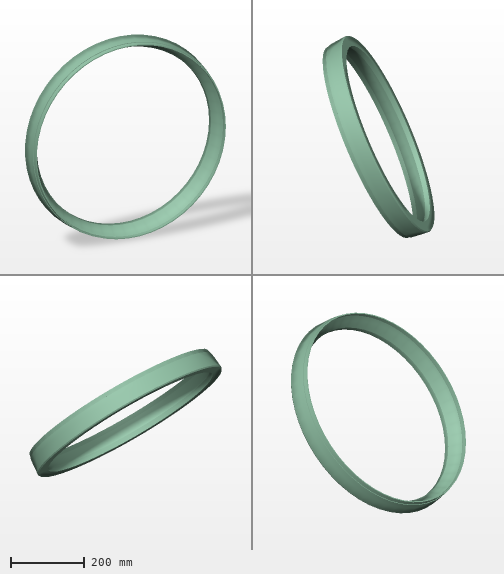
import cadquery as cq

width = 61.0
outer_diameter = 580.0

chamfer_length = 3.5
chamfer_depth = 2.5
lip_start = 49.0
crown_end_diameter = 571.0
crown_mid_diameter = 576.5
lip_start_diameter = 568.0
lip_end_diameter = 565.0

front_bore_diameter = 518.0
front_bore_length = 14.0
rear_bore_diameter = 559.0
rear_bore_start = lip_start

outer_radius = outer_diameter / 2
lip_end_radius = lip_end_diameter / 2
front_bore_radius = front_bore_diameter / 2
rear_bore_radius = rear_bore_diameter / 2
crown_mid_station = (chamfer_length + lip_start) / 2

section = (
    cq.Workplane("XY")
    .moveTo(0, front_bore_radius)
    .lineTo(0, outer_radius - chamfer_depth)
    .lineTo(chamfer_length, outer_radius)
    .threePointArc(
        (crown_mid_station, crown_mid_diameter / 2),
        (lip_start, crown_end_diameter / 2),
    )
    .lineTo(lip_start, lip_start_diameter / 2)
    .lineTo(width, lip_end_radius)
    .lineTo(width, rear_bore_radius)
    .lineTo(rear_bore_start, rear_bore_radius)
    .lineTo(front_bore_length, front_bore_radius)
    .close()
)

ring = section.revolve(360, (0, 0, 0), (1, 0, 0))

result = ring.translate((-width / 2, 0, 0))